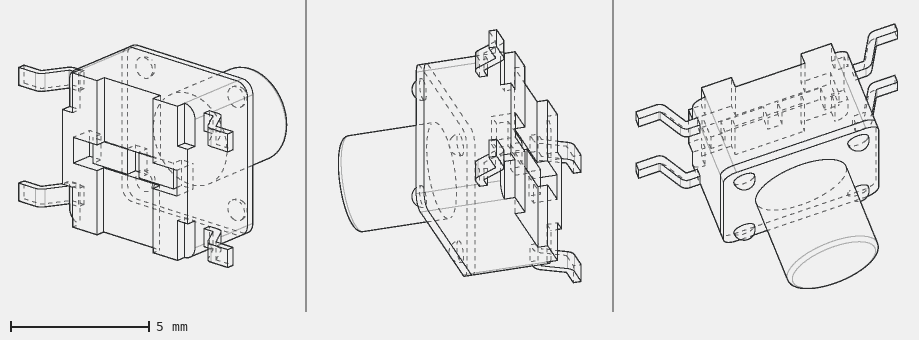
import cadquery as cq
import math


BODY_SIZE = 6
BODY_DEPTH = 3.3
CORNER_RADIUS = 0.5
NOTCH_DEPTH = 0.4
NOTCH_WIDTH = 0.49
NOTCH_HEIGHT = 1.55
CHANNEL_WIDTH = 2.68
UPPER_CHANNEL_DEPTH = 0.4
LOWER_CHANNEL_DEPTH = 0.37

SLOT_HEIGHT = 1
BLOCK_WIDTH = 1.65
PIT_WIDTH = 0.55
BLOCK_TOP_DEPTH = 0.45
PIT_DEPTH = 0.9
SLOT_WIDTH = 2 * BLOCK_WIDTH + 3 * PIT_WIDTH

COVER_THICKNESS = 0.3
COVER_TOP = BODY_DEPTH + COVER_THICKNESS
BUMP_RADIUS = 0.4
BUMP_PITCH = 4.4

BUTTON_DIAMETER = 3.52
BUTTON_LENGTH = 3.4
BUTTON_EDGE_RADIUS = 0.15

LEAD_SPAN = 10
LEAD_PITCH = 4.5
LEAD_WIDTH = 0.7
LEAD_THICKNESS = 0.3
LEAD_FOOT_Y = -0.1
LEAD_EXIT_Y = 0.9
LEAD_BEND_X = 3.4
LEAD_SLOPE = 60
INNER_BEND_RADIUS = 0.05
OUTER_BEND_RADIUS = INNER_BEND_RADIUS + LEAD_THICKNESS


def block(x_size, z_size, y_start, y_end, x=0, z=0):
    """Box centred on (x, z) and spanning y_start to y_end."""
    depth = y_end - y_start
    return cq.Workplane("XY").box(x_size, depth, z_size).translate((x, y_start + depth / 2, z))


def rounded_slab(y_start, y_end):
    """Square slab with the rounded corners shared by housing and cover."""
    return block(BODY_SIZE, BODY_SIZE, y_start, y_end).edges("|Y").fillet(CORNER_RADIUS)


def make_housing():
    housing = rounded_slab(0, BODY_DEPTH)

    notch_x = (BODY_SIZE - NOTCH_WIDTH) / 2
    notch_z = (BODY_SIZE - NOTCH_HEIGHT) / 2
    for x in (-notch_x, notch_x):
        for z in (-notch_z, notch_z):
            housing = housing.cut(block(NOTCH_WIDTH, NOTCH_HEIGHT, 0, NOTCH_DEPTH, x, z))

    half = BODY_SIZE / 2
    housing = housing.cut(block(CHANNEL_WIDTH, half, 0, UPPER_CHANNEL_DEPTH, z=half / 2))
    housing = housing.cut(block(CHANNEL_WIDTH, half, 0, LOWER_CHANNEL_DEPTH, z=-half / 2))
    housing = housing.cut(block(SLOT_WIDTH, SLOT_HEIGHT, 0, BLOCK_TOP_DEPTH))

    pit_pitch = BLOCK_WIDTH + PIT_WIDTH
    for x in (-pit_pitch, 0, pit_pitch):
        housing = housing.cut(block(PIT_WIDTH, SLOT_HEIGHT, BLOCK_TOP_DEPTH, PIT_DEPTH, x))
    return housing


def make_cover():
    cover = rounded_slab(BODY_DEPTH, COVER_TOP)
    front_space = block(BODY_SIZE, BODY_SIZE, BODY_DEPTH, COVER_TOP + BUMP_RADIUS)
    for x in (-BUMP_PITCH / 2, BUMP_PITCH / 2):
        for z in (-BUMP_PITCH / 2, BUMP_PITCH / 2):
            ball = cq.Workplane("XY").sphere(BUMP_RADIUS).translate((x, COVER_TOP, z))
            cover = cover.union(ball.intersect(front_space))
    return cover


def make_button():
    button = (
        cq.Workplane("XZ", origin=(0, COVER_TOP, 0))
        .circle(BUTTON_DIAMETER / 2)
        .extrude(-BUTTON_LENGTH)
    )
    return button.faces(">Y").edges().fillet(BUTTON_EDGE_RADIUS)


def polar(centre, radius, angle):
    """Point at an angle in degrees around a centre."""
    turn = math.radians(angle)
    return (centre[0] + radius * math.cos(turn), centre[1] + radius * math.sin(turn))


def make_lead(side, z):
    """Lead leaving the -X wall (side = -1) or the +X wall (side = 1) at height z."""
    foot_front = LEAD_FOOT_Y + LEAD_THICKNESS
    exit_front = LEAD_EXIT_Y + LEAD_THICKNESS
    exit_centre = (LEAD_BEND_X, LEAD_EXIT_Y - INNER_BEND_RADIUS)
    foot_centre_y = foot_front + INNER_BEND_RADIUS
    slope = math.radians(LEAD_SLOPE)
    offset = INNER_BEND_RADIUS + OUTER_BEND_RADIUS
    slope_length = (exit_centre[1] - foot_centre_y + offset * math.cos(slope)) / math.sin(slope)
    bend_spacing = slope_length * math.cos(slope) + offset * math.sin(slope)
    foot_centre = (LEAD_BEND_X + bend_spacing, foot_centre_y)

    exit_end = 90 - LEAD_SLOPE
    exit_mid = 90 - LEAD_SLOPE / 2
    foot_end = 270 - LEAD_SLOPE
    foot_mid = 270 - LEAD_SLOPE / 2
    wall = BODY_SIZE / 2
    tip = LEAD_SPAN / 2

    lead = (
        cq.Workplane("XY")
        .moveTo(wall, exit_front)
        .lineTo(LEAD_BEND_X, exit_front)
        .threePointArc(
            polar(exit_centre, OUTER_BEND_RADIUS, exit_mid),
            polar(exit_centre, OUTER_BEND_RADIUS, exit_end),
        )
        .lineTo(*polar(foot_centre, INNER_BEND_RADIUS, foot_end))
        .threePointArc(
            polar(foot_centre, INNER_BEND_RADIUS, foot_mid),
            (foot_centre[0], foot_front),
        )
        .lineTo(tip, foot_front)
        .lineTo(tip, LEAD_FOOT_Y)
        .lineTo(foot_centre[0], LEAD_FOOT_Y)
        .threePointArc(
            polar(foot_centre, OUTER_BEND_RADIUS, foot_mid),
            polar(foot_centre, OUTER_BEND_RADIUS, foot_end),
        )
        .lineTo(*polar(exit_centre, INNER_BEND_RADIUS, exit_end))
        .threePointArc(
            polar(exit_centre, INNER_BEND_RADIUS, exit_mid),
            (LEAD_BEND_X, LEAD_EXIT_Y),
        )
        .lineTo(wall, LEAD_EXIT_Y)
        .close()
        .extrude(LEAD_WIDTH / 2, both=True)
    )
    if side < 0:
        lead = lead.mirror("YZ")
    return lead.translate((0, 0, z))


housing = make_housing()
cover = make_cover()
button = make_button()
leads = [make_lead(side, z) for side in (-1, 1) for z in (-LEAD_PITCH / 2, LEAD_PITCH / 2)]

result = cq.Compound.makeCompound(
    [housing.val(), cover.val(), button.val(), *[lead.val() for lead in leads]]
)